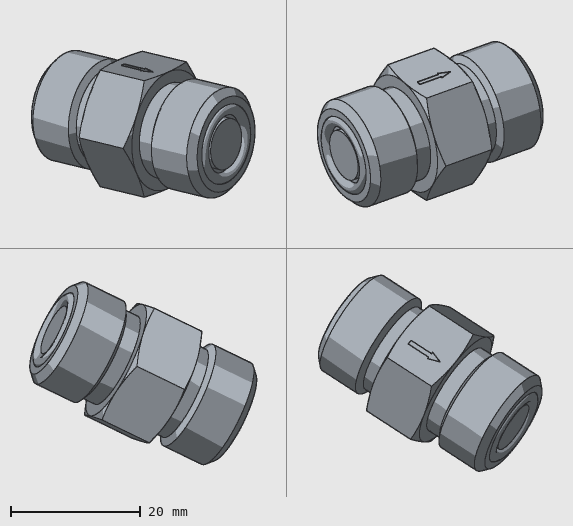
import cadquery as cq
import math

overall_length = 32.65
hex_flats = 19.05
hex_width = 9.57
hex_chamfer_circle = 19.0
hex_chamfer_angle = 21.0

thread_diameter = 17.45
neck_diameter = 15.12
neck_length = 2.48
thread_runout_angle = 30.0

groove_outer_diameter = 12.67
groove_inner_diameter = 8.1
groove_depth = 1.25
ring_thickness = 1.73
ring_protrusion = ring_thickness - groove_depth

arrow_tail_x = -2.97
arrow_head_x = 0.9
arrow_tip_x = 2.85
arrow_centre_y = -1.3
arrow_shaft_width = 0.75
arrow_head_width = 1.35
arrow_depth = 0.1

half_length = overall_length / 2
end_face_x = half_length - ring_protrusion
hex_half_width = hex_width / 2
thread_start_x = hex_half_width + neck_length
thread_radius = thread_diameter / 2
neck_radius = neck_diameter / 2
thread_step = thread_radius - neck_radius
runout_length = thread_step * math.tan(math.radians(thread_runout_angle))
ring_tube_radius = ring_thickness / 2
ring_centre_radius = groove_outer_diameter / 2 - ring_tube_radius
ring_centre_x = half_length - ring_tube_radius


def revolve_about_x(points):
    """Turn a closed (x, radius) outline about the X axis."""
    return (
        cq.Workplane("XY")
        .polyline(points)
        .close()
        .revolve(360, (0, 0, 0), (1, 0, 0))
    )


def make_hex():
    """Hexagon with flats facing +Z and -Z, its corners trimmed by a cone at each side."""
    corner_radius = hex_flats / math.sqrt(3)
    circle_radius = hex_chamfer_circle / 2
    corner_drop = (corner_radius - circle_radius) * math.tan(math.radians(hex_chamfer_angle))
    blank = (
        cq.Workplane("YZ")
        .polygon(6, 2 * corner_radius)
        .extrude(hex_half_width, both=True)
    )
    corner_trim = revolve_about_x([
        (-hex_half_width, 0),
        (-hex_half_width, circle_radius),
        (-hex_half_width + corner_drop, corner_radius),
        (hex_half_width - corner_drop, corner_radius),
        (hex_half_width, circle_radius),
        (hex_half_width, 0),
    ])
    return blank.intersect(corner_trim)


def make_spigot():
    """Neck and threaded length on the +X side; the lead-in chamfer is 45 degrees."""
    return revolve_about_x([
        (0, 0),
        (0, neck_radius),
        (thread_start_x, neck_radius),
        (thread_start_x + runout_length, thread_radius),
        (end_face_x - thread_step, thread_radius),
        (end_face_x, neck_radius),
        (end_face_x, 0),
    ])


def make_groove():
    """Ring-shaped cutter for the seal groove at the +X end."""
    return (
        cq.Workplane("YZ", origin=(end_face_x - groove_depth, 0, 0))
        .circle(groove_outer_diameter / 2)
        .circle(groove_inner_diameter / 2)
        .extrude(groove_depth)
    )


def make_arrow():
    """Cutter for the flow arrow, reaching down from the top flat."""
    half_shaft = arrow_shaft_width / 2
    half_head = arrow_head_width / 2
    return (
        cq.Workplane("XY", origin=(0, arrow_centre_y, hex_flats / 2))
        .polyline([
            (arrow_tail_x, -half_shaft),
            (arrow_head_x, -half_shaft),
            (arrow_head_x, -half_head),
            (arrow_tip_x, 0),
            (arrow_head_x, half_head),
            (arrow_head_x, half_shaft),
            (arrow_tail_x, half_shaft),
        ])
        .close()
        .extrude(-arrow_depth)
    )


def make_housing():
    housing = make_hex()
    for turn in (0, 180):
        housing = housing.union(make_spigot().rotate((0, 0, 0), (0, 0, 1), turn))
    for turn in (0, 180):
        housing = housing.cut(make_groove().rotate((0, 0, 0), (0, 0, 1), turn))
    return housing.cut(make_arrow())


def make_seal_ring(side):
    """O-ring seated on the groove floor; side is +1 or -1 along X."""
    return (
        cq.Workplane("XY")
        .center(side * ring_centre_x, ring_centre_radius)
        .circle(ring_tube_radius)
        .revolve(360, (0, -ring_centre_radius, 0), (1, -ring_centre_radius, 0))
    )


housing = make_housing()
seal_rings = [make_seal_ring(side) for side in (-1, 1)]

result = cq.Compound.makeCompound([housing.val(), *[ring.val() for ring in seal_rings]])